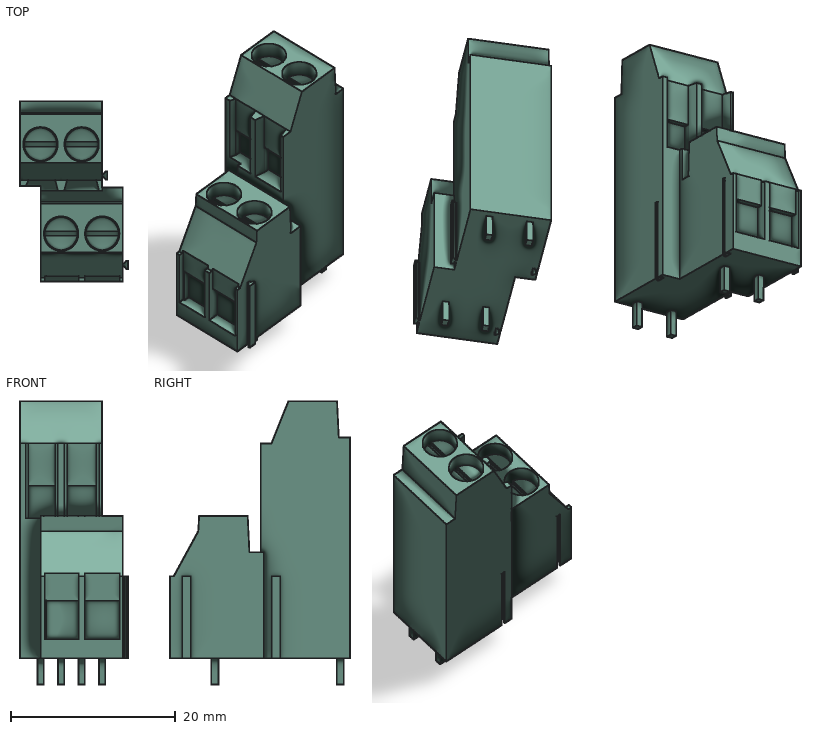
import cadquery as cq


POLES = 2
POLE_PITCH = 5.0
TIER_WIDTH = POLES * POLE_PITCH
TIER_SHIFT_X = POLE_PITCH / 2
TIER_STEP_Y = 10.85
TIER_STEP_Z = 13.95

WIDTH = 13.15
DEPTH = 21.92
LOWER_TOP_Z = 17.3
UPPER_TOP_Z = LOWER_TOP_Z + TIER_STEP_Z
LOWER_LEDGE_Z = 12.9
UPPER_LEDGE_Z = LOWER_LEDGE_Z + TIER_STEP_Z
LOWER_SHOULDER_Z = 10.0
UPPER_SHOULDER_Z = 26.13
UPPER_FRONT_Y = 11.03
CORNER_FRONT_Y = 11.58
LOWER_BACK_Y = 11.45
TOP_BLOCK_FRONT_Y = 3.55
TOP_BLOCK_BACK_Y = 9.48
TOP_BLOCK_BACK_FOOT_Y = 9.7
LOWER_SLOPE_TOP_Y = 3.45
LOWER_SLOPE_TOP_Z = 15.45
LOWER_SLOPE_FOOT_Y = 0.48
UPPER_SLOPE_FOOT_Y = 12.35

SCREW_Y = 5.83
HOLE_DIAMETER = 4.2
SCREW_DIAMETER = 4.0
SCREW_RECESS = 2.0
SCREW_HEIGHT = 2.0
SLOT_WIDTH = 0.55
SLOT_DEPTH = 0.5

LEFT_WALL_EXTRA = 0.1
LEFT_WALL_EXTRA_INSIDE = 0.3
UPPER_MOUTH_WIDTH = 4.25
UPPER_INNER_WIDTH = 3.55
UPPER_POCKET_FLOOR_Z = 17.0
UPPER_RECESS_TOP_Z = 21.0
UPPER_RECESS_BACK_Y = 13.05
LOWER_MOUTH_WIDTH = 4.25
LOWER_POCKET_BACK_Y = 0.65
LOWER_POCKET_TOP_Z = 10.4
LOWER_POCKET_FLOOR_Z = 2.35
LOWER_RECESS_TOP_Z = 7.0
LOWER_RECESS_BACK_Y = 1.45

DOVETAIL_Y = 2.05
RIB_NECK_WIDTH = 0.4
RIB_HEAD_WIDTH = 1.05
RIB_NECK_LENGTH = 0.17
RIB_FLARE_END = 0.45
RIB_LENGTH = WIDTH - TIER_SHIFT_X - TIER_WIDTH
DOVETAIL_CLEARANCE = 0.05

PIN_WIDTH = 0.8
PIN_THICKNESS = 0.9
PIN_LENGTH = 3.2
LOWER_PIN_Y = 5.48
UPPER_PIN_Y = 20.7

LOWER_POLE_X = [TIER_SHIFT_X + (pole + 0.5) * POLE_PITCH for pole in range(POLES)]
UPPER_POLE_X = [(pole + 0.5) * POLE_PITCH for pole in range(POLES)]


def box_between(x_start, x_end, y_start, y_end, z_start, z_end):
    """Box given by its limits along each axis."""
    size = (x_end - x_start, y_end - y_start, z_end - z_start)
    return cq.Workplane("XY").box(*size, centered=False).translate((x_start, y_start, z_start))


def extrude_side_profile(points, x_start, x_end):
    """Prism along X from a profile of (y, z) points."""
    profile = cq.Workplane("YZ", origin=(x_start, 0, 0)).polyline(points).close()
    return profile.extrude(x_end - x_start)


def lower_tier():
    points = [
        (0, 0),
        (LOWER_BACK_Y, 0),
        (LOWER_BACK_Y, LOWER_LEDGE_Z),
        (TOP_BLOCK_BACK_FOOT_Y, LOWER_LEDGE_Z),
        (TOP_BLOCK_BACK_Y, LOWER_TOP_Z),
        (TOP_BLOCK_FRONT_Y, LOWER_TOP_Z),
        (LOWER_SLOPE_TOP_Y, LOWER_SLOPE_TOP_Z),
        (LOWER_SLOPE_FOOT_Y, LOWER_SHOULDER_Z),
        (0, LOWER_SHOULDER_Z),
    ]
    return extrude_side_profile(points, TIER_SHIFT_X, TIER_SHIFT_X + TIER_WIDTH)


def upper_tier():
    points = [
        (UPPER_FRONT_Y, 0),
        (DEPTH, 0),
        (DEPTH, UPPER_LEDGE_Z),
        (TOP_BLOCK_BACK_FOOT_Y + TIER_STEP_Y, UPPER_LEDGE_Z),
        (TOP_BLOCK_BACK_Y + TIER_STEP_Y, UPPER_TOP_Z),
        (TOP_BLOCK_FRONT_Y + TIER_STEP_Y, UPPER_TOP_Z),
        (UPPER_SLOPE_FOOT_Y, UPPER_SHOULDER_Z),
        (UPPER_FRONT_Y, UPPER_SHOULDER_Z),
    ]
    tier = extrude_side_profile(points, 0, TIER_WIDTH)
    corner = box_between(0, TIER_SHIFT_X, UPPER_FRONT_Y, CORNER_FRONT_Y, 0, UPPER_SHOULDER_Z)
    return tier.cut(corner)


def screw_hole(x, y, top_z):
    depth = SCREW_RECESS + SCREW_HEIGHT
    return cq.Workplane("XY", origin=(x, y, top_z - depth)).circle(HOLE_DIAMETER / 2).extrude(depth)


def upper_pocket(x, mouth_wall_extra, inner_wall_extra):
    """Pocket with flared side walls, open at the shoulder, and a straight deeper recess below."""
    mouth_left = x - UPPER_MOUTH_WIDTH / 2 + mouth_wall_extra
    mouth_right = x + UPPER_MOUTH_WIDTH / 2
    inner_left = x - UPPER_INNER_WIDTH / 2 + inner_wall_extra
    inner_right = x + UPPER_INNER_WIDTH / 2
    flare = (
        cq.Workplane("XY", origin=(0, 0, UPPER_POCKET_FLOOR_Z))
        .polyline([
            (mouth_left, UPPER_FRONT_Y),
            (mouth_right, UPPER_FRONT_Y),
            (inner_right, UPPER_SLOPE_FOOT_Y),
            (inner_left, UPPER_SLOPE_FOOT_Y),
        ])
        .close()
        .extrude(UPPER_SHOULDER_Z - UPPER_POCKET_FLOOR_Z)
    )
    recess = box_between(
        inner_left, inner_right, UPPER_SLOPE_FOOT_Y, UPPER_RECESS_BACK_Y,
        UPPER_POCKET_FLOOR_Z, UPPER_RECESS_TOP_Z,
    )
    return flare.union(recess)


def lower_pocket(x, mouth_wall_extra, inner_wall_extra):
    """Straight pocket that bites into the foot of the slope, with a deeper recess below."""
    left = x - LOWER_MOUTH_WIDTH / 2
    right = x + LOWER_MOUTH_WIDTH / 2
    mouth = box_between(
        left + mouth_wall_extra, right, 0, LOWER_POCKET_BACK_Y,
        LOWER_POCKET_FLOOR_Z, LOWER_POCKET_TOP_Z,
    )
    recess = box_between(
        left + inner_wall_extra, right, LOWER_POCKET_BACK_Y, LOWER_RECESS_BACK_Y,
        LOWER_POCKET_FLOOR_Z, LOWER_RECESS_TOP_Z,
    )
    return mouth.union(recess)


def dovetail(wall_x, y, clearance):
    """Dovetail bar standing out in +X from the wall, widened and lengthened by the clearance."""
    half_neck = RIB_NECK_WIDTH / 2 + clearance
    half_head = RIB_HEAD_WIDTH / 2 + clearance
    points = [
        (0, half_neck),
        (RIB_NECK_LENGTH, half_neck),
        (RIB_FLARE_END, half_head),
        (RIB_LENGTH + clearance, half_head),
        (RIB_LENGTH + clearance, -half_head),
        (RIB_FLARE_END, -half_head),
        (RIB_NECK_LENGTH, -half_neck),
        (0, -half_neck),
    ]
    section = cq.Workplane("XY", origin=(wall_x, y, 0)).polyline(points).close()
    return section.extrude(LOWER_SHOULDER_Z)


def make_housing():
    body = lower_tier().union(upper_tier())
    for pole in range(POLES):
        is_left = pole == 0
        upper_x = UPPER_POLE_X[pole]
        lower_x = LOWER_POLE_X[pole]
        mouth_extra = LEFT_WALL_EXTRA if is_left else 0
        inner_extra = LEFT_WALL_EXTRA_INSIDE if is_left else 0
        body = body.cut(screw_hole(lower_x, SCREW_Y, LOWER_TOP_Z))
        body = body.cut(screw_hole(upper_x, SCREW_Y + TIER_STEP_Y, UPPER_TOP_Z))
        body = body.cut(upper_pocket(upper_x, mouth_extra, inner_extra))
        body = body.cut(lower_pocket(lower_x, mouth_extra, inner_extra))
    for left_x, y in ((TIER_SHIFT_X, DOVETAIL_Y), (0, DOVETAIL_Y + TIER_STEP_Y)):
        body = body.cut(dovetail(left_x, y, DOVETAIL_CLEARANCE))
        body = body.union(dovetail(left_x + TIER_WIDTH, y, 0))
    return body


def make_screw(x, y, housing_top_z):
    """Slotted screw standing on the floor of its access hole."""
    top_z = housing_top_z - SCREW_RECESS
    base = cq.Workplane("XY", origin=(x, y, top_z - SCREW_HEIGHT))
    shank = base.circle(SCREW_DIAMETER / 2).extrude(SCREW_HEIGHT)
    slot = box_between(
        x - SCREW_DIAMETER, x + SCREW_DIAMETER, y - SLOT_WIDTH / 2, y + SLOT_WIDTH / 2,
        top_z - SLOT_DEPTH, top_z,
    )
    return shank.cut(slot)


def make_pin(x, y):
    """Solder pin hanging from the underside of the housing."""
    return cq.Workplane("XY", origin=(x, y, 0)).rect(PIN_WIDTH, PIN_THICKNESS).extrude(-PIN_LENGTH)


housing = make_housing()

screws = []
pins = []
for x in LOWER_POLE_X:
    screws.append(make_screw(x, SCREW_Y, LOWER_TOP_Z).val())
    pins.append(make_pin(x, LOWER_PIN_Y).val())
for x in UPPER_POLE_X:
    screws.append(make_screw(x, SCREW_Y + TIER_STEP_Y, UPPER_TOP_Z).val())
    pins.append(make_pin(x, UPPER_PIN_Y).val())

result = cq.Compound.makeCompound([housing.val(), *screws, *pins])